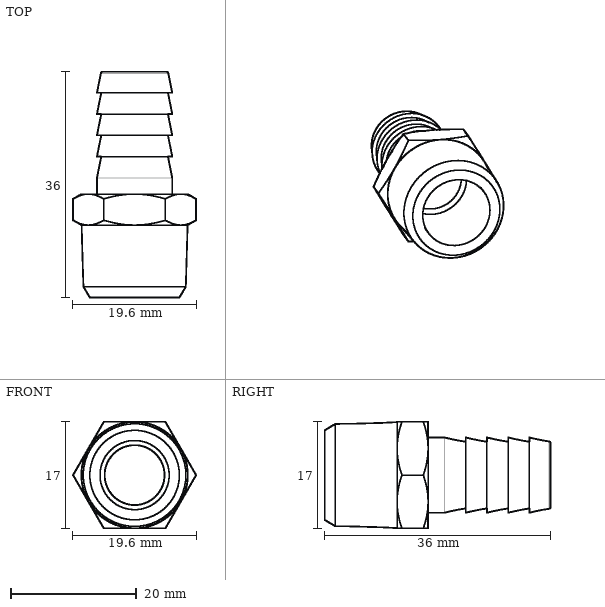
import cadquery as cq
import math

length = 36.0

thread_tip_radius = 7.13
thread_small_radius = 8.17
thread_large_radius = 8.45
thread_chamfer_length = 1.73
thread_end = 11.55

hex_across_flats = 17.0
hex_end = 16.5
hex_chamfer_angle = 30.0

barb_count = 5
barb_pitch = 3.4
barb_large_radius = 6.0
barb_small_radius = 5.33
tip_round = 0.35
barbs_start = length - barb_count * barb_pitch

thread_bore_radius = 5.5
hose_bore_radius = 4.75
bore_cone_angle = 118.0
bore_cone_end = hex_end
bore_cone_length = (thread_bore_radius - hose_bore_radius) / math.tan(math.radians(bore_cone_angle / 2))
bore_cone_start = bore_cone_end - bore_cone_length


def revolve_profile(points):
    """Turn a closed (radius, Y) outline about the Y axis."""
    return cq.Workplane("XY").polyline(points).close().revolve(360, (0, 0, 0), (0, 1, 0))


def make_thread_body():
    return revolve_profile([
        (0, 0),
        (thread_tip_radius, 0),
        (thread_small_radius, thread_chamfer_length),
        (thread_large_radius, thread_end),
        (0, thread_end),
    ])


def make_hexagon():
    """Hexagon with corners on X, both faces chamfered from the flats outward."""
    flat_radius = hex_across_flats / 2
    corner_radius = flat_radius / math.cos(math.radians(30))
    chamfer_drop = (corner_radius - flat_radius) * math.tan(math.radians(hex_chamfer_angle))
    prism = (
        cq.Workplane("XZ", origin=(0, hex_end, 0))
        .polygon(6, 2 * corner_radius)
        .extrude(hex_end - thread_end)
    )
    envelope = revolve_profile([
        (0, thread_end),
        (flat_radius, thread_end),
        (corner_radius, thread_end + chamfer_drop),
        (corner_radius, hex_end - chamfer_drop),
        (flat_radius, hex_end),
        (0, hex_end),
    ])
    return prism.intersect(envelope)


def make_hose_tail():
    """Plain neck followed by barbs that taper toward the free end."""
    points = [(0, hex_end), (barb_large_radius, hex_end)]
    for index in range(barb_count):
        start = barbs_start + index * barb_pitch
        points.append((barb_large_radius, start))
        points.append((barb_small_radius, start + barb_pitch))
    points.append((0, length))
    return revolve_profile(points).faces(">Y").edges().fillet(tip_round)


def make_bore():
    return revolve_profile([
        (0, 0),
        (thread_bore_radius, 0),
        (thread_bore_radius, bore_cone_start),
        (hose_bore_radius, bore_cone_end),
        (hose_bore_radius, length),
        (0, length),
    ])


result = make_thread_body().union(make_hexagon()).union(make_hose_tail()).cut(make_bore())